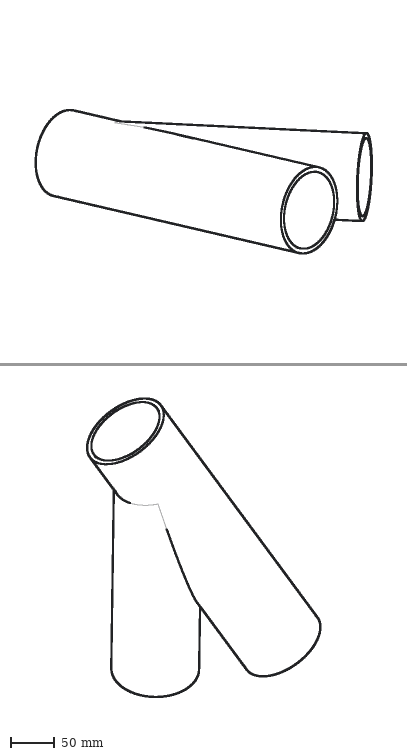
import cadquery as cq
import math

outer_diameter = 101.5
inner_diameter = 90.2

run_length = 368.3
junction_x = 76.5
branch_length = 292.0
branch_angle = math.radians(30.0)

run_start = cq.Vector(0, 0, 0)
run_direction = cq.Vector(1, 0, 0)
junction = cq.Vector(junction_x, 0, 0)
branch_direction = cq.Vector(math.cos(branch_angle), math.sin(branch_angle), 0)


def wye(diameter):
    """Two joined cylinders of one diameter: the run and its branch."""
    radius = diameter / 2
    run = cq.Solid.makeCylinder(radius, run_length, run_start, run_direction)
    branch = cq.Solid.makeCylinder(radius, branch_length, junction, branch_direction)
    return cq.Workplane(obj=run).union(cq.Workplane(obj=branch))


result = wye(outer_diameter).cut(wye(inner_diameter))